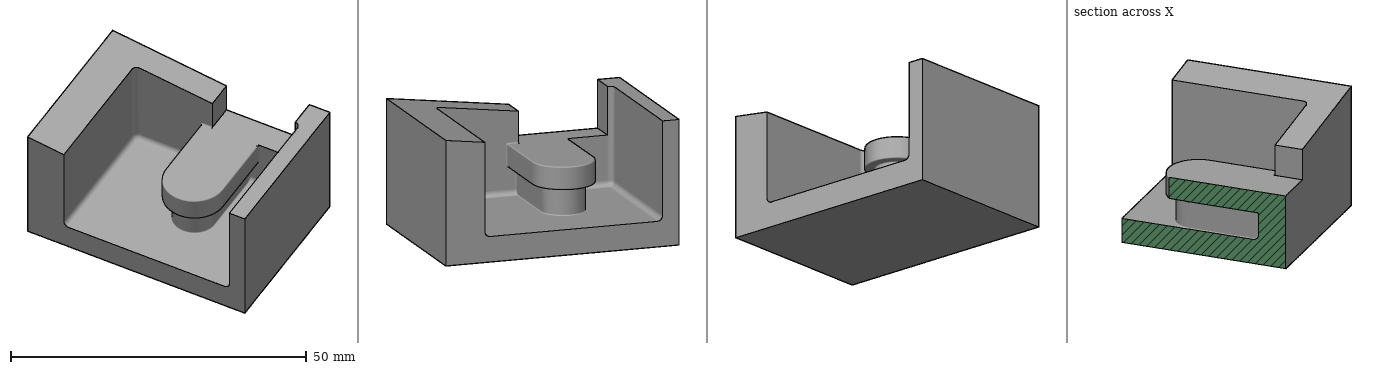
import cadquery as cq

length, depth, height = 42.0, 30.0, 22.0
low_wall_height = 19.05

floor_height = 4.5
pocket_left, pocket_right = 7.0, 39.0
back_wall = 5.0
pocket_radius = 1.0
pocket_back = depth - back_wall

notch_left, notch_right = 22.0, pocket_right - pocket_radius
shelf_height = 13.5

tongue_x = 25.5
tongue_center_y = depth - 17.6
head_width, head_thickness = 11.0, 4.0
stem_width = 7.7
edge_radius = 0.2


def box(x0, x1, y0, y1, z0, z1):
    """Axis-aligned box between the given limits."""
    return cq.Workplane("XY").box(x1 - x0, y1 - y0, z1 - z0, centered=False).translate((x0, y0, z0))


def tongue_layer(width, bottom, top):
    """Round-nosed bar that ends inside the back wall."""
    radius = width / 2
    tongue_end = pocket_back + back_wall / 2
    return (
        cq.Workplane("XY", origin=(tongue_x, 0, bottom))
        .moveTo(-radius, tongue_end)
        .lineTo(-radius, tongue_center_y)
        .threePointArc((0, tongue_center_y - radius), (radius, tongue_center_y))
        .lineTo(radius, tongue_end)
        .close()
        .extrude(top - bottom)
    )


block = (
    cq.Workplane("XZ")
    .polyline([
        (0, 0), (length, 0), (length, height), (notch_right, height),
        (notch_right, shelf_height), (notch_left, shelf_height),
        (notch_left, low_wall_height), (0, height),
    ])
    .close()
    .extrude(-depth)
)

overshoot = 4.2
pocket = (
    box(pocket_left, pocket_right, -overshoot, pocket_back, floor_height, height + overshoot)
    .edges("(|Z and >Y) or (<Z and (not <Y))")
    .fillet(pocket_radius)
)
body = block.cut(pocket)

head = tongue_layer(head_width, shelf_height - head_thickness, shelf_height)
head = head.faces("<Z or >Z").edges("not >Y").fillet(edge_radius)
body = body.union(head)


def edges_within(x_reach, y_limits, z_limits):
    """Selector for edges that lie wholly in a box centered on the tongue in X."""
    return cq.selectors.BoxSelector(
        (tongue_x - x_reach, y_limits[0], z_limits[0]),
        (tongue_x + x_reach, y_limits[1], z_limits[1]),
        boundingbox=True,
    )


margin = edge_radius / 2
wall_plane = (pocket_back - margin, pocket_back + margin)
head_bottom = shelf_height - head_thickness
head_joint = edges_within(
    head_width / 2 + margin, wall_plane, (head_bottom - margin, shelf_height + margin)
)
body = body.edges(head_joint).fillet(edge_radius)

stem = tongue_layer(stem_width, floor_height, shelf_height - head_thickness / 2)
body = body.union(stem)
stem_joint = edges_within(
    stem_width / 2 + margin,
    (tongue_center_y - stem_width / 2 - margin, pocket_back + margin),
    (floor_height - margin, head_bottom + margin),
)
nose_seams = edges_within(
    stem_width / 2 + margin,
    (tongue_center_y - margin, tongue_center_y + margin),
    (floor_height - margin, head_bottom + margin),
)
result = body.edges(stem_joint - nose_seams).fillet(edge_radius)